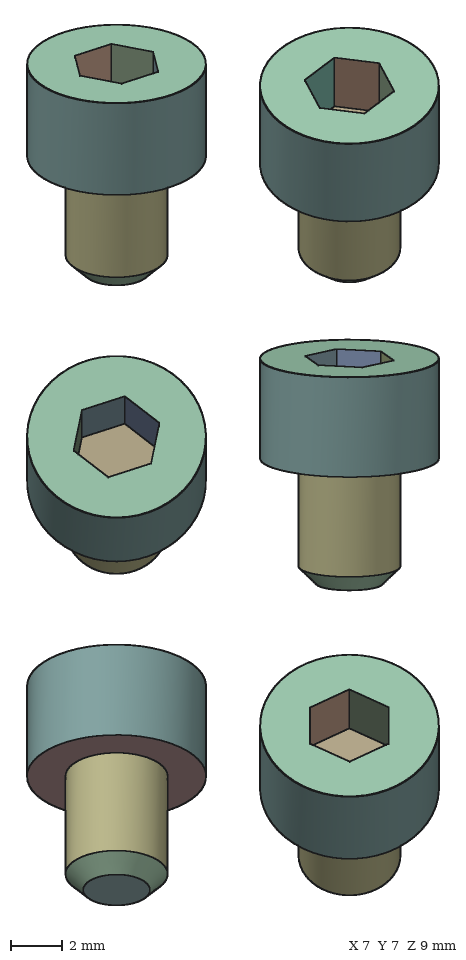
import cadquery as cq
import math

total_length = 9.0
head_diameter = 7.0
head_height = 4.0
head_edge_chamfer = 0.02
shank_diameter = 4.0
tip_chamfer = 0.69
socket_across_flats = 3.08
socket_depth = 2.5

shank_length = total_length - head_height
socket_across_corners = socket_across_flats / math.cos(math.pi / 6)


def make_shank():
    """Plain cylindrical shank with a chamfered tip at Z = 0."""
    shank = cq.Workplane("XY").circle(shank_diameter / 2).extrude(shank_length)
    return shank.faces("<Z").chamfer(tip_chamfer)


def make_head():
    """Cylindrical head with its top rim slightly broken."""
    underside = cq.Workplane("XY").workplane(offset=shank_length)
    head = underside.circle(head_diameter / 2).extrude(head_height)
    return head.faces(">Z").chamfer(head_edge_chamfer)


def make_socket():
    """Hexagonal drive recess with two corners on the X axis."""
    top = cq.Workplane("XY").workplane(offset=total_length)
    return top.polygon(6, socket_across_corners).extrude(-socket_depth)


result = make_shank().union(make_head()).cut(make_socket())